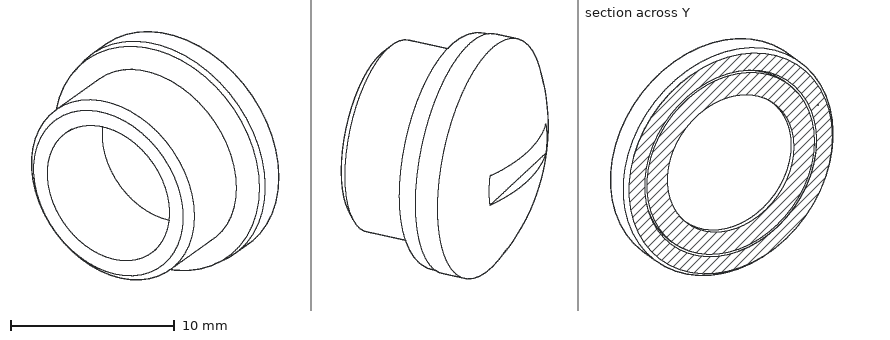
import cadquery as cq

flange_radius = 7.5
flange_thickness = 1.5
dome_height = 2.5
dome_radius = (flange_radius**2 + dome_height**2) / (2 * dome_height)
apex_y = flange_thickness + dome_height

stem_radius = 6.0
stem_length = 6.0
stem_chamfer = 0.5
bore_radius = 4.5
bore_depth = 6.0

ring_section_radius = 0.7
ring_overlap = 0.008
ring_center_radius = stem_radius + ring_section_radius - ring_overlap
ring_center_y = ring_overlap - ring_section_radius

slot_width = 2.0
slot_depth = 0.68


def head_and_stem():
    mid_radius = flange_radius / 2
    mid_y = apex_y - dome_radius + (dome_radius**2 - mid_radius**2) ** 0.5
    profile = (
        cq.Workplane("XY")
        .moveTo(0, -stem_length)
        .lineTo(stem_radius - stem_chamfer, -stem_length)
        .lineTo(stem_radius, -stem_length + stem_chamfer)
        .lineTo(stem_radius, 0)
        .lineTo(flange_radius, 0)
        .lineTo(flange_radius, flange_thickness)
        .threePointArc((mid_radius, mid_y), (0, apex_y))
        .close()
    )
    return profile.revolve(360, (0, 0), (0, 1))


def sealing_ring():
    section = cq.Workplane("XY").center(ring_center_radius, ring_center_y).circle(ring_section_radius)
    return section.revolve(360, (-ring_center_radius, 0), (-ring_center_radius, 1))


def bore():
    start = cq.Workplane("XZ", origin=(0, -stem_length, 0))
    return start.circle(bore_radius).extrude(-bore_depth)


def slot():
    return cq.Workplane("XY").box(2 * flange_radius, 2 * slot_depth, slot_width).translate((0, apex_y, 0))


result = head_and_stem().union(sealing_ring()).cut(bore()).cut(slot())